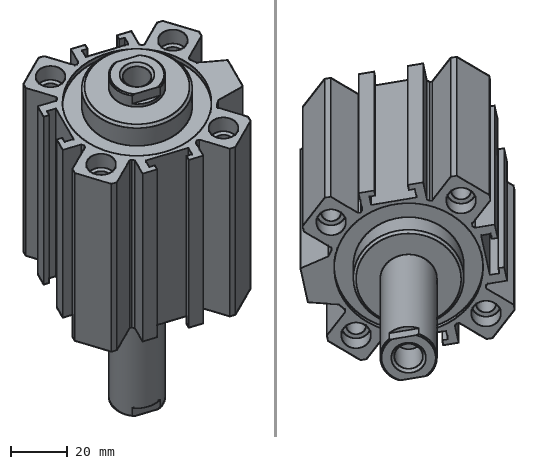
import cadquery as cq
import math

rod_length = 163.0
body_bottom = 64.0
body_top = 149.0
boss_height = 8.0

rod_dia = 20.0
rod_edge_chamfer = 0.5
flat_half_width = 8.5
flat_length = 4.5
rod_bore_dia = 10.1
rod_bore_mouth_dia = 12.2
rod_bore_depth = 15.0

boss_dia = 39.0
boss_chamfer = 1.0
recess_dia = 52.5
recess_depth = 2.0

overall_width = 67.0
lug_half_width = 8.5
lug_reach = 40.5
bolt_offset = 23.3
bolt_hole_dia = 7.0
counterbore_dia = 10.5
counterbore_depth = 7.0

notch_floor = 25.3

rail_reach = 33.1
rail_half_width = 11.5
notch_chamfer = 0.8
slot_floor = 27.5
slot_half_width = 8.2
lip_thickness = 2.1
lip_half_gap = 6.0

fin_reach = 37.5
fin_tip_half_width = 7.0
fin_root_half_width = 10.0
fin_root = 26.9
fin_foot_half_width = 12.2

body_length = body_top - body_bottom

core_side_half_width = notch_floor - lug_half_width * math.sqrt(2)


def prism(points):
    return cq.Workplane("XY").workplane(offset=body_bottom).polyline(points).close().extrude(body_length)


def make_core():
    """Eight-sided middle of the housing, with the notch floors as its sides."""
    far = notch_floor
    near = core_side_half_width
    return prism([
        (far, near), (near, far), (-near, far), (-far, near),
        (-far, -near), (-near, -far), (near, -far), (far, -near),
    ])


def make_lug(angle):
    """Lug along +X with chamfered outer corners, turned to its diagonal."""
    corner_chamfer = lug_reach + lug_half_width - overall_width / math.sqrt(2)
    lug = prism([
        (0, -lug_half_width),
        (lug_reach - corner_chamfer, -lug_half_width),
        (lug_reach, corner_chamfer - lug_half_width),
        (lug_reach, lug_half_width - corner_chamfer),
        (lug_reach - corner_chamfer, lug_half_width),
        (0, lug_half_width),
    ])
    return lug.rotate((0, 0, 0), (0, 0, 1), angle)


def make_rail(angle):
    """T-slotted rail along +X, turned to its side."""
    foot_half_width = rail_half_width + notch_chamfer
    rail_root = notch_floor + notch_chamfer
    lip_inside = rail_reach - lip_thickness
    rail = prism([
        (0, -foot_half_width),
        (notch_floor, -foot_half_width),
        (rail_root, -rail_half_width),
        (rail_reach, -rail_half_width),
        (rail_reach, -lip_half_gap),
        (lip_inside, -lip_half_gap),
        (lip_inside, -slot_half_width),
        (slot_floor, -slot_half_width),
        (slot_floor, slot_half_width),
        (lip_inside, slot_half_width),
        (lip_inside, lip_half_gap),
        (rail_reach, lip_half_gap),
        (rail_reach, rail_half_width),
        (rail_root, rail_half_width),
        (notch_floor, foot_half_width),
        (0, foot_half_width),
    ])
    return rail.rotate((0, 0, 0), (0, 0, 1), angle)


def make_fin():
    return prism([
        (-fin_foot_half_width, 0),
        (-fin_foot_half_width, notch_floor),
        (-fin_root_half_width, fin_root),
        (-fin_tip_half_width, fin_reach),
        (fin_tip_half_width, fin_reach),
        (fin_root_half_width, fin_root),
        (fin_foot_half_width, notch_floor),
        (fin_foot_half_width, 0),
    ])


def cylinder(diameter, bottom, top):
    return cq.Workplane("XY").workplane(offset=bottom).circle(diameter / 2).extrude(top - bottom)


def bolt_cylinders(diameter, bottom, top):
    return (
        cq.Workplane("XY").workplane(offset=bottom)
        .rect(2 * bolt_offset, 2 * bolt_offset, forConstruction=True)
        .vertices().circle(diameter / 2).extrude(top - bottom)
    )


def make_housing():
    housing = make_core().union(make_fin())
    for angle in (45, 135, 225, 315):
        housing = housing.union(make_lug(angle))
    for angle in (0, 180, 270):
        housing = housing.union(make_rail(angle))

    housing = housing.cut(cylinder(recess_dia, body_top - recess_depth, body_top))
    housing = housing.cut(cylinder(recess_dia, body_bottom, body_bottom + recess_depth))

    housing = housing.cut(bolt_cylinders(bolt_hole_dia, body_bottom, body_top))
    housing = housing.cut(bolt_cylinders(counterbore_dia, body_top - counterbore_depth, body_top))
    housing = housing.cut(bolt_cylinders(counterbore_dia, body_bottom, body_bottom + counterbore_depth))

    bosses = cylinder(boss_dia, body_bottom - boss_height, body_top + boss_height)
    housing = housing.union(bosses.faces("<Z or >Z").chamfer(boss_chamfer))
    return housing.cut(cylinder(rod_dia, 0, rod_length))


def make_rod():
    rod = cylinder(rod_dia, 0, rod_length).faces("<Z or >Z").chamfer(rod_edge_chamfer)

    flat_cutter = cq.Workplane("XY").box(rod_dia, rod_dia, flat_length)
    flat_center = flat_half_width + rod_dia / 2
    for x in (-flat_center, flat_center):
        for z in (flat_length / 2, rod_length - flat_length / 2):
            rod = rod.cut(flat_cutter.translate((x, 0, z)))

    mouth_chamfer = (rod_bore_mouth_dia - rod_bore_dia) / 2
    return (
        rod.faces(">Z").workplane(origin=(0, 0, rod_length)).hole(rod_bore_dia, rod_bore_depth)
        .faces("<Z").workplane(origin=(0, 0, 0)).hole(rod_bore_dia, rod_bore_depth)
        .faces("<Z or >Z").edges(cq.selectors.RadiusNthSelector(0)).chamfer(mouth_chamfer)
    )


housing = make_housing()
rod = make_rod()

result = cq.Compound.makeCompound([housing.val(), rod.val()])